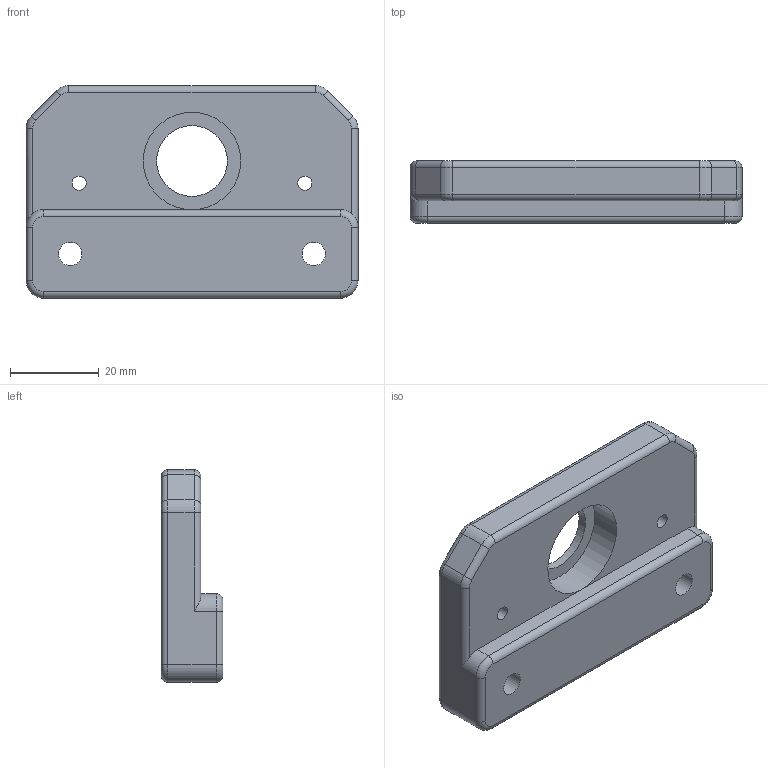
import cadquery as cq

width = 75.0
height = 48.0
plate_thickness = 9.0
block_height = 20.0
total_depth = 14.0

top_corner_cut = 8.0
corner_radius = 4.0
edge_radius = 1.5

seat_diameter = 22.0
seat_depth = 7.0
bore_diameter = 16.0
bore_height = block_height + seat_diameter / 2

plate_hole_diameter = 3.2
plate_hole_spacing = 51.0
plate_hole_height = 26.0
block_hole_diameter = 5.3
block_hole_spacing = 55.0
block_hole_height = block_height / 2


def front_workplane(y):
    """XZ sketch plane at the given Y, with extrusion running toward -Y."""
    return cq.Workplane("XZ", origin=(0, y, 0))


def make_plate():
    """Back plate with cut top corners, rounded on its front and back rims."""
    half = width / 2
    plate = (
        front_workplane(0)
        .moveTo(-half, 0)
        .lineTo(half, 0)
        .lineTo(half, height - top_corner_cut)
        .lineTo(half - top_corner_cut, height)
        .lineTo(-half + top_corner_cut, height)
        .lineTo(-half, height - top_corner_cut)
        .close()
        .extrude(plate_thickness)
    )
    plate = plate.edges("|Y").fillet(corner_radius)
    return plate.faces("<Y or >Y").edges().fillet(edge_radius)


def make_block():
    """Lower block, starting inside the plate where the back rim rounding ends."""
    block = (
        front_workplane(-edge_radius)
        .center(0, block_height / 2)
        .rect(width, block_height)
        .extrude(total_depth - edge_radius)
    )
    block = block.edges("|Y").fillet(corner_radius)
    return block.faces("<Y").edges().fillet(edge_radius)


def make_hole_pair(spacing, z, diameter):
    """Two cylinders through the full depth, mirrored about X = 0."""
    return (
        front_workplane(0)
        .pushPoints([(-spacing / 2, z), (spacing / 2, z)])
        .circle(diameter / 2)
        .extrude(total_depth)
    )


def make_stepped_bore():
    """Through bore with a wider seat sunk from the front face of the plate."""
    bore = front_workplane(0).center(0, bore_height).circle(bore_diameter / 2).extrude(plate_thickness)
    seat = (
        front_workplane(seat_depth - plate_thickness)
        .center(0, bore_height)
        .circle(seat_diameter / 2)
        .extrude(seat_depth)
    )
    return bore.union(seat)


body = make_plate().union(make_block())
body = body.cut(make_stepped_bore())
body = body.cut(make_hole_pair(plate_hole_spacing, plate_hole_height, plate_hole_diameter))
result = body.cut(make_hole_pair(block_hole_spacing, block_hole_height, block_hole_diameter))